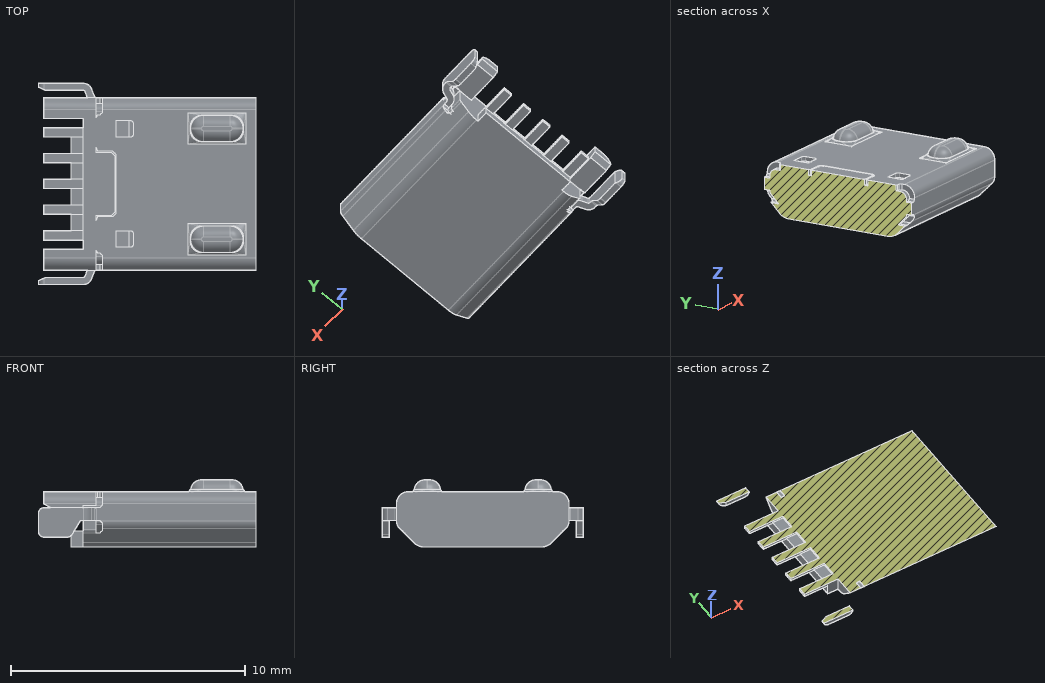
import cadquery as cq
import math


LENGTH = 9.3
WING_X = 0.227
LEDGE_X = 1.395
HOUSING_X = 1.915
SHELL_X = 2.465

SHELL_HALF = 3.687
SHELL_TOP = 2.375
SHELL_WALL = 0.257
TOP_RADIUS = 0.515
BEVEL_TOP = 0.93
BEVEL_TOP_RADIUS = 0.46
BEVEL_BOTTOM_RADIUS = 0.65

HOUSING_HALF = SHELL_HALF - SHELL_WALL
HOUSING_TOP = SHELL_TOP - SHELL_WALL
HOUSING_TOP_RADIUS = 0.33
HOUSING_BEVEL_TOP = BEVEL_TOP - SHELL_WALL
HOUSING_BEVEL_RADIUS = 0.22
BEVEL_OFFSET_RISE = math.sqrt(2) - 1

WING_INNER = 2.785
WING_BOTTOM = 1.69
WING_TIP_RISE = 0.16
WING_TIP_RUN = 0.28
WING_GAP = 0.085

SLOT_FRONT_X = 2.73
SLOT_INNER = 2.95
SLOT_CORNER = 0.1
SLOT_FLARE_WIDTH = 0.11
LOWER_SLOT_BOTTOM = 0.61

PIN_COUNT = 5
PIN_PITCH = 1.1
PIN_WIDTH = 0.41
PIN_TOP = 0.69
PIN_THICKNESS = 0.2
LEDGE_TOP = 0.53
LEDGE_WIDTH = (PIN_COUNT - 1) * PIN_PITCH + PIN_WIDTH

TAB_OUTER = 4.3
TAB_THICKNESS = 0.31
TAB_BOTTOM = 0.42
TAB_TOP = WING_BOTTOM
STRAP_BOTTOM = 1.13
TAB_CORNER = 0.25
TAB_SLOPE_BOTTOM_X = 1.37
TAB_SLOPE_TOP_X = 1.8
TAB_SLOPE_RADIUS = 0.07
TAB_TIP_LENGTH = 0.31
TAB_TIP_THICKNESS = 0.17
BEND_OUTER_X = 2.18
BEND_INNER_X = 1.97
ROOT_OUTER_X = 2.42
ROOT_INNER_X = 2.18
ROOT_OUTER_RADIUS = 0.1
BEND_RADIUS = 0.38
ROOT_INNER_RADIUS = 0.39

TONGUE_FRONT_X = 3.316
TONGUE_HALF = 1.4
TONGUE_SIDE_GAP = 0.06
TONGUE_FRONT_GAP = 0.045
TONGUE_CORNER = 0.14
FLARE_LENGTH = 0.07
FLARE_WIDTH = 0.16

WINDOW_X = 3.31
WINDOW_RAMP_END_X = 3.865
WINDOW_END_X = 4.057
WINDOW_WIDTH = 0.7
WINDOW_Y = 2.35
WINDOW_DEPTH = 0.2
WINDOW_CORNER = 0.12

BUMP_X = 7.62
BUMP_Y = 2.365
BUMP_TOP = 2.88
BUMP_LENGTH = 2.28
BUMP_WIDTH = 1.17
BUMP_CORNER = 0.57
BUMP_DRAFT = 8
BUMP_TOP_RADIUS = 0.47
DIMPLE_LENGTH = 2.48
DIMPLE_WIDTH = 1.335
DIMPLE_DEPTH = 0.07
DIMPLE_CORNER = 0.02
SKIRT_HEIGHT = 0.16
SKIRT_INSET = 0.1
SKIRT_TOP_CORNER = 0.5

EDGE_REACH = 0.05


def box(x0, x1, y0, y1, z0, z1):
    """Box given by its limits along each axis."""
    return cq.Workplane("XY").box(x1 - x0, y1 - y0, z1 - z0, centered=False).translate((x0, y0, z0))


def mirrored(shape):
    """The shape together with its mirror image across Y = 0."""
    return shape.union(shape.mirror("XZ"))


def bevelled_prism(half, top, bevel_top, radii, x0, x1):
    """Prism along X: flat top, rounded top edges, 45 degree lower bevels."""
    top_radius, bevel_radius, bottom_radius = radii
    bottom_half = half - bevel_top
    outline = [
        (-half, top), (half, top),
        (half, bevel_top), (bottom_half, 0),
        (-bottom_half, 0), (-half, bevel_top),
    ]
    prism = cq.Workplane("YZ").workplane(offset=x0).polyline(outline).close().extrude(x1 - x0)
    prism = prism.edges("|X and >Z").fillet(top_radius)
    prism = prism.edges("|X and <Z").fillet(bottom_radius)
    bevel_edges = cq.selectors.BoxSelector(
        (x0, -half - EDGE_REACH, bevel_top - EDGE_REACH),
        (x1, half + EDGE_REACH, bevel_top + EDGE_REACH),
    )
    return prism.edges(bevel_edges).fillet(bevel_radius)


def shell_prism(x0, x1):
    """Outer shape of the metal shell, filled solid."""
    radii = (TOP_RADIUS, BEVEL_TOP_RADIUS, BEVEL_BOTTOM_RADIUS)
    return bevelled_prism(SHELL_HALF, SHELL_TOP, BEVEL_TOP, radii, x0, x1)


def housing_prism(x0, x1):
    """Housing that fills the shell."""
    radii = (HOUSING_TOP_RADIUS, HOUSING_BEVEL_RADIUS, BEVEL_BOTTOM_RADIUS)
    return bevelled_prism(HOUSING_HALF, HOUSING_TOP, HOUSING_BEVEL_TOP, radii, x0, x1)


def shell_cavity(x0, x1):
    """Shell shape offset inwards by the wall, apart from the uncut underside."""
    bevel_top = BEVEL_TOP + SHELL_WALL * BEVEL_OFFSET_RISE
    radii = (HOUSING_TOP_RADIUS, BEVEL_TOP_RADIUS - SHELL_WALL, BEVEL_BOTTOM_RADIUS)
    return bevelled_prism(HOUSING_HALF, HOUSING_TOP, bevel_top, radii, x0, x1)


def wings():
    """Roof over the rear of the housing with a wing reaching back on each side."""
    roof = shell_prism(WING_X, SHELL_X).intersect(
        box(WING_X, SHELL_X, -SHELL_HALF, SHELL_HALF, WING_BOTTOM, SHELL_TOP))
    opening = box(WING_X, HOUSING_X, -WING_INNER, WING_INNER, 0, SHELL_TOP)
    tip = [
        (WING_X, WING_BOTTOM), (WING_X + WING_TIP_RUN, WING_BOTTOM),
        (WING_X, WING_BOTTOM + WING_TIP_RISE),
    ]
    tip_cut = cq.Workplane("XZ").polyline(tip).close().extrude(SHELL_HALF, both=True)
    clearance = box(HOUSING_X, SHELL_X, HOUSING_HALF, SHELL_HALF, WING_BOTTOM, WING_BOTTOM + WING_GAP)
    return roof.cut(opening).cut(tip_cut).cut(mirrored(clearance))


def edge_flare(y, width):
    """Small triangular cutter widening a cut at y along the shell's rear edge."""
    corner = [(SHELL_X, y), (SHELL_X + FLARE_LENGTH, y), (SHELL_X, y + width)]
    flare = cq.Workplane("XY").workplane(offset=HOUSING_TOP).polyline(corner).close()
    return flare.extrude(SHELL_WALL)


def corner_slots():
    """Cutter for the slots through the shell wall, down to the shell cavity shape."""
    upper = box(SHELL_X, SLOT_FRONT_X, SLOT_INNER, SHELL_HALF, WING_BOTTOM, SHELL_TOP)
    upper = upper.edges(">X and <Y and |Z").chamfer(SLOT_CORNER)
    upper = upper.edges(">X and <Z and |Y").chamfer(SLOT_CORNER)
    lower = box(SHELL_X, SLOT_FRONT_X, SLOT_INNER, SHELL_HALF, LOWER_SLOT_BOTTOM, STRAP_BOTTOM)
    lower = lower.edges(">X and |Y").chamfer(SLOT_CORNER)
    slots = upper.union(lower).union(edge_flare(SLOT_INNER, -SLOT_FLARE_WIDTH))
    return mirrored(slots).cut(shell_cavity(SHELL_X, SLOT_FRONT_X))


def pins_and_ledge():
    """Row of contact pins resting partly sunk in a ledge behind the housing."""
    rear = box(LEDGE_X, HOUSING_X, -LEDGE_WIDTH / 2, LEDGE_WIDTH / 2, 0, LEDGE_TOP)
    for index in range(PIN_COUNT):
        y0 = (index - (PIN_COUNT - 1) / 2) * PIN_PITCH - PIN_WIDTH / 2
        rear = rear.union(box(WING_X, HOUSING_X, y0, y0 + PIN_WIDTH, PIN_TOP - PIN_THICKNESS, PIN_TOP))
    return rear


def solder_tab():
    """Vertical tab at +Y with the bent strap joining it to the shell."""
    tab_inner = TAB_OUTER - TAB_THICKNESS
    plan = [
        (0, TAB_OUTER), (BEND_OUTER_X, TAB_OUTER),
        (ROOT_OUTER_X, SHELL_HALF), (SLOT_FRONT_X, SHELL_HALF),
        (SLOT_FRONT_X, HOUSING_HALF), (ROOT_INNER_X, HOUSING_HALF),
        (BEND_INNER_X, tab_inner), (TAB_TIP_LENGTH, tab_inner),
        (0, TAB_OUTER - TAB_TIP_THICKNESS),
    ]
    bent = cq.Workplane("XY").workplane(offset=TAB_BOTTOM).polyline(plan).close()
    bent = bent.extrude(TAB_TOP - TAB_BOTTOM)
    bent = bent.edges(vertical_edge_at(BEND_OUTER_X, TAB_OUTER)).fillet(BEND_RADIUS)
    bent = bent.edges(vertical_edge_at(BEND_INNER_X, tab_inner)).fillet(BEND_RADIUS - TAB_THICKNESS)
    bent = bent.edges(vertical_edge_at(ROOT_OUTER_X, SHELL_HALF)).fillet(ROOT_OUTER_RADIUS)
    bent = bent.edges(vertical_edge_at(ROOT_INNER_X, HOUSING_HALF)).fillet(ROOT_INNER_RADIUS)

    side = [
        (0, TAB_TOP), (SLOT_FRONT_X, TAB_TOP), (SLOT_FRONT_X, STRAP_BOTTOM),
        (TAB_SLOPE_TOP_X, STRAP_BOTTOM), (TAB_SLOPE_BOTTOM_X, TAB_BOTTOM), (0, TAB_BOTTOM),
    ]
    outline = cq.Workplane("XZ").polyline(side).close().extrude(-TAB_OUTER)
    outline = outline.edges("|Y and <X").fillet(TAB_CORNER)
    outline = outline.edges(cross_edge_at(TAB_SLOPE_BOTTOM_X, TAB_BOTTOM)).fillet(TAB_CORNER)
    outline = outline.edges(cross_edge_at(TAB_SLOPE_TOP_X, STRAP_BOTTOM)).fillet(TAB_SLOPE_RADIUS)
    return bent.intersect(outline)


def vertical_edge_at(x, y):
    """Selector for the tab edge along Z at (x, y)."""
    return cq.selectors.BoxSelector((x - EDGE_REACH, y - EDGE_REACH, TAB_BOTTOM),
                                    (x + EDGE_REACH, y + EDGE_REACH, TAB_TOP))


def cross_edge_at(x, z):
    """Selector for the tab outline edge along Y at (x, z)."""
    return cq.selectors.BoxSelector((x - EDGE_REACH, 0, z - EDGE_REACH),
                                    (x + EDGE_REACH, TAB_OUTER, z + EDGE_REACH))


def tongue_plan(front_x, half):
    """Tongue footprint with bevelled front corners, as deep as the shell wall."""
    plate = box(SHELL_X, front_x, -half, half, HOUSING_TOP, SHELL_TOP)
    return plate.edges(">X and |Z").chamfer(TONGUE_CORNER)


def tongue_groove():
    """Cutter for the narrow gap around the tongue, flared at the shell's rear edge."""
    inner = tongue_plan(TONGUE_FRONT_X - TONGUE_FRONT_GAP, TONGUE_HALF - TONGUE_SIDE_GAP)
    gap = tongue_plan(TONGUE_FRONT_X, TONGUE_HALF).cut(inner)
    return gap.union(mirrored(edge_flare(TONGUE_HALF, FLARE_WIDTH)))


def latch_window():
    """Cutter for the latch recess at +Y: a ramp falling to a flat floor."""
    floor = SHELL_TOP - WINDOW_DEPTH
    section = [
        (WINDOW_X, SHELL_TOP), (WINDOW_RAMP_END_X, floor),
        (WINDOW_END_X, floor), (WINDOW_END_X, SHELL_TOP),
    ]
    cutter = cq.Workplane("XZ").polyline(section).close().extrude(WINDOW_WIDTH / 2, both=True)
    return cutter.edges("|Z and >X").fillet(WINDOW_CORNER).translate((0, WINDOW_Y, 0))


def dimple():
    """Cutter for the rectangular dimple around the spring bump at +Y."""
    x0 = BUMP_X - DIMPLE_LENGTH / 2
    y0 = BUMP_Y - DIMPLE_WIDTH / 2
    return box(x0, x0 + DIMPLE_LENGTH, y0, y0 + DIMPLE_WIDTH, SHELL_TOP - DIMPLE_DEPTH, SHELL_TOP)


def rounded_rectangle(length, width, corner):
    """Sketch of a rectangle with rounded corners."""
    return cq.Sketch().rect(length, width).vertices().fillet(corner)


def spring_bump():
    """Rounded spring bump at +Y on a skirt that spreads to the dimple edges."""
    base = cq.Workplane("XY").workplane(offset=SHELL_TOP - DIMPLE_DEPTH).center(BUMP_X, BUMP_Y)
    footprint = rounded_rectangle(BUMP_LENGTH, BUMP_WIDTH, BUMP_CORNER)
    bump = base.placeSketch(footprint).extrude(BUMP_TOP - SHELL_TOP + DIMPLE_DEPTH, taper=BUMP_DRAFT)
    bump = bump.faces(">Z").edges().fillet(BUMP_TOP_RADIUS)
    skirt_bottom = rounded_rectangle(DIMPLE_LENGTH, DIMPLE_WIDTH, DIMPLE_CORNER)
    skirt_top = rounded_rectangle(
        DIMPLE_LENGTH - 2 * SKIRT_INSET, DIMPLE_WIDTH - 2 * SKIRT_INSET, SKIRT_TOP_CORNER)
    raised_top = skirt_top.moved(cq.Location(cq.Vector(0, 0, SKIRT_HEIGHT)))
    skirt = base.placeSketch(skirt_bottom, raised_top).loft()
    return bump.union(skirt)


body = shell_prism(SHELL_X, LENGTH).cut(corner_slots())
body = body.union(housing_prism(HOUSING_X, SHELL_X)).union(wings())
body = body.cut(tongue_groove()).cut(mirrored(latch_window())).cut(mirrored(dimple()))
result = body.union(pins_and_ledge()).union(mirrored(solder_tab())).union(mirrored(spring_bump()))